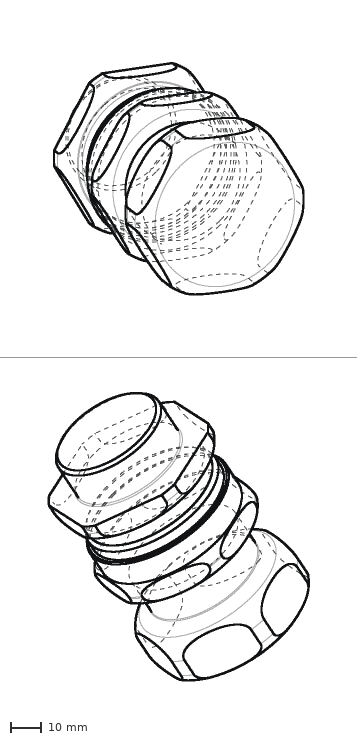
import cadquery as cq
import math

across_flats = 55.0
corner_dia = 60.6
corner_radius = corner_dia / 2
outer_round = 5.0

length = 87.9
hex_start = 14.85
hex_end = 23.0
ring_start = 29.45
ring_end = 34.6
collar_end = 44.0
lock_nut_end = 52.7
cone_start = 66.5

spigot_dia = 40.0
spigot_chamfer = 1.2
spigot_root_fillet = 0.5
shank_dia = 47.9
shank_root_fillet = 1.0

ring_dia = 50.7
ring_chamfer = 1.5

collar_dia = 54.0
collar_chamfer = 0.5

lock_nut_inner_round = 3.2

neck_dia = 41.5
neck_root_fillet = 0.4
cone_slope = math.radians(62)
cone_round = 8.0

edge_margin = 0.1


def cylinder(start, end, dia):
    return cq.Workplane("YZ", origin=(start, 0, 0)).circle(dia / 2).extrude(end - start)


def hexagon(start, end):
    """Hexagonal prism along X with two flats facing +Z and -Z."""
    section = cq.Workplane("YZ", origin=(start, 0, 0)).polygon(6, across_flats, circumscribed=True)
    return section.extrude(end - start).rotate((0, 0, 0), (1, 0, 0), 90)


def root_circle(x, dia):
    """Selector for the circular edge of the given diameter at station x."""
    half = dia / 2 + edge_margin
    return cq.selectors.BoxSelector(
        (x - edge_margin, -half, -half), (x + edge_margin, half, half), boundingbox=True
    )


def rounded_hexagon(start, end, start_round=0):
    """Hexagon trimmed by a round blank, so that its corners are rounded."""
    blank = cylinder(start, end, corner_dia).faces(">X").edges().fillet(outer_round)
    if start_round > 0:
        blank = blank.faces("<X").edges().fillet(start_round)
    return hexagon(start, end).intersect(blank)


def make_entry_body():
    """Plain spigot, hexagon and shank, with a concave fillet at each root."""
    return (
        cylinder(0, hex_start, spigot_dia)
        .faces("<X").chamfer(spigot_chamfer)
        .union(rounded_hexagon(hex_start, hex_end))
        .union(cylinder(hex_end, ring_start, shank_dia))
        .edges(root_circle(hex_start, spigot_dia)).fillet(spigot_root_fillet)
        .edges(root_circle(hex_end, shank_dia)).fillet(shank_root_fillet)
    )


def make_ring():
    return cylinder(ring_start, ring_end, ring_dia).faces("<X").chamfer(ring_chamfer)


def make_collar():
    return cylinder(ring_end, collar_end, collar_dia).faces("<X").chamfer(collar_chamfer)


def make_lock_nut():
    return rounded_hexagon(collar_end, lock_nut_end, lock_nut_inner_round)


def make_cap_nut():
    """Neck and hexagon, joined by a cone that runs tangent into the rounded hexagon corners."""
    neck_radius = neck_dia / 2
    cone_end_radius = corner_radius - cone_round * (1 - math.cos(cone_slope))
    cone_end = cone_start + (cone_end_radius - neck_radius) / math.tan(cone_slope)
    arc_centre_x = cone_end + cone_round * math.sin(cone_slope)
    arc_centre_r = corner_radius - cone_round
    arc_middle = (
        arc_centre_x - cone_round * math.sin(cone_slope / 2),
        arc_centre_r + cone_round * math.cos(cone_slope / 2),
    )
    blank = (
        cq.Workplane("XY")
        .moveTo(cone_start, 0)
        .lineTo(cone_start, neck_radius)
        .lineTo(cone_end, cone_end_radius)
        .threePointArc(arc_middle, (arc_centre_x, corner_radius))
        .lineTo(length, corner_radius)
        .lineTo(length, 0)
        .close()
        .revolve(360, (0, 0, 0), (1, 0, 0))
        .faces(">X").edges().fillet(outer_round)
    )
    neck = cylinder(lock_nut_end, cone_start, neck_dia)
    return (
        hexagon(cone_start, length)
        .intersect(blank)
        .union(neck)
        .edges(root_circle(cone_start, neck_dia)).fillet(neck_root_fillet)
    )


result = cq.Compound.makeCompound(
    [
        make_entry_body().val(),
        make_ring().val(),
        make_collar().val(),
        make_lock_nut().val(),
        make_cap_nut().val(),
    ]
)